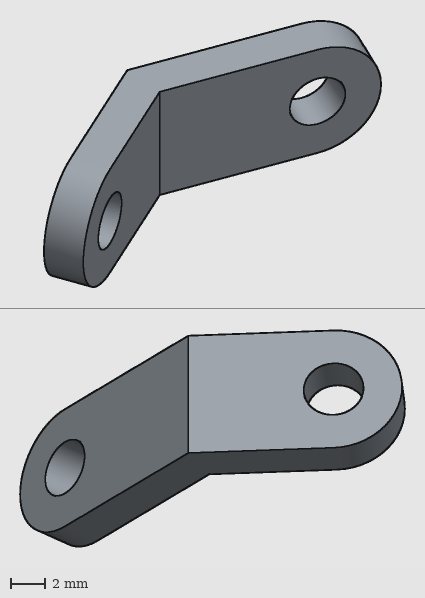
import cadquery as cq
import math

overall_length = 23.85
width = 8.0
thickness = 2.5
long_leg = 15.0
bend_angle = 45.0
hole_diameter = 3.5

end_radius = width / 2
short_leg = (overall_length - long_leg) / math.cos(math.radians(bend_angle))


def make_leg(length, direction):
    """Plate from the Z axis along +Y or -Y, with a rounded, drilled tip.

    Its outer face lies at X = 0 and its thickness runs toward +X.
    """
    center_y = direction * (length - end_radius)
    plate = (
        cq.Workplane("YZ")
        .moveTo(0, -end_radius)
        .lineTo(center_y, -end_radius)
        .threePointArc((direction * length, 0), (center_y, end_radius))
        .lineTo(0, end_radius)
        .close()
        .extrude(thickness)
    )
    hole = cq.Workplane("YZ").center(center_y, 0).circle(hole_diameter / 2).extrude(thickness)
    return plate.cut(hole)


straight_leg = make_leg(long_leg, 1)
angled_leg = make_leg(short_leg, -1).rotate((0, 0, 0), (0, 0, 1), bend_angle)

result = straight_leg.union(angled_leg).clean()